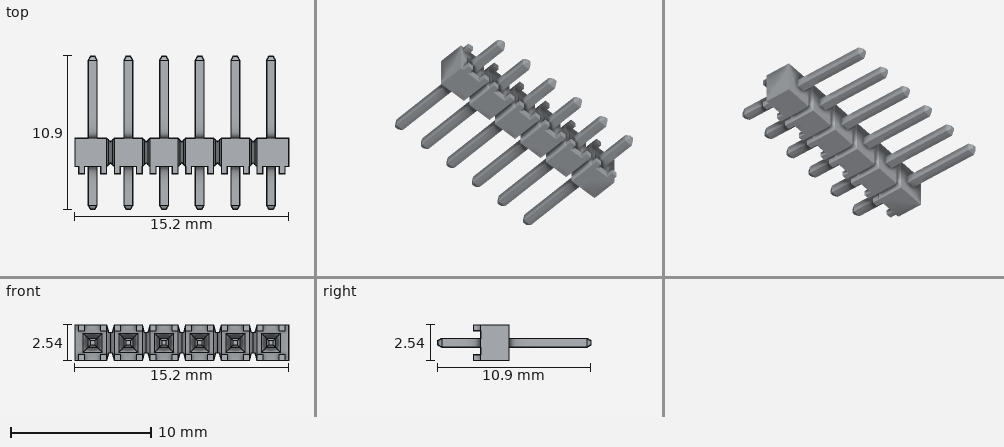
import cadquery as cq

pin_count = 6
pitch = 2.54

body_length = pin_count * pitch
body_depth = 2.03
body_height = 2.54
body_front = -body_depth / 2
body_back = body_depth / 2
block_width = 2.0

notch_width = pitch - block_width
notch_floor_width = .26
bridge_height = 1.48
side_notch_depth = notch_width / 2

foot_width = 0.43
foot_height = 0.43
foot_length = 0.51

pin_size = .64
pin_tip_size = 0.30
pin_tip_length = 0.30
pin_front_reach = 3.052
pin_back_reach = 5.842
pin_front = body_front - pin_front_reach
pin_back = body_back + pin_back_reach

funnel_mouth = 1.35
funnel_depth = 0.25

pin_positions = [(i - (pin_count - 1) / 2) * pitch for i in range(pin_count)]
notch_positions = [x + pitch / 2 for x in pin_positions[:-1]]


def square_taper(x, y_start, size_start, y_end, size_end):
    """Square frustum along Y, centred on the pin axis at x."""
    return (
        cq.Workplane("XZ", origin=(x, y_start, 0))
        .rect(size_start, size_start)
        .workplane(offset=y_start - y_end)
        .rect(size_end, size_end)
        .loft()
    )


def top_notch(x):
    """Trapezoidal groove along Y in the top of the housing."""
    top = body_height / 2
    floor = bridge_height / 2
    return (
        cq.Workplane("XZ", origin=(x, body_back, 0))
        .polyline([
            (-notch_width / 2, top),
            (-notch_floor_width / 2, floor),
            (notch_floor_width / 2, floor),
            (notch_width / 2, top),
        ])
        .close()
        .extrude(body_depth)
    )


def front_notch(x):
    """V groove along Z in the front of the housing."""
    return (
        cq.Workplane("XY", origin=(x, 0, -body_height / 2))
        .polyline([
            (-notch_width / 2, body_front),
            (0, body_front + side_notch_depth),
            (notch_width / 2, body_front),
        ])
        .close()
        .extrude(body_height)
    )


def feet(x):
    """Four feet at the corners of one block."""
    return (
        cq.Workplane("XZ", origin=(x, body_front, 0))
        .rect(block_width - foot_width, body_height - foot_height, forConstruction=True)
        .vertices()
        .rect(foot_width, foot_height)
        .extrude(foot_length)
    )


def funnel(x):
    """Tapered lead-in that narrows from the front face down to the pin."""
    return square_taper(x, body_front, funnel_mouth, body_front + funnel_depth, pin_size)


def pin(x):
    """Square pin with a blunt taper at both ends."""
    shank_front = pin_front + pin_tip_length
    shank_back = pin_back - pin_tip_length
    shank = (
        cq.Workplane("XZ", origin=(x, shank_back, 0))
        .rect(pin_size, pin_size)
        .extrude(shank_back - shank_front)
    )
    front_tip = square_taper(x, shank_front, pin_size, pin_front, pin_tip_size)
    back_tip = square_taper(x, shank_back, pin_size, pin_back, pin_tip_size)
    return shank.union(front_tip).union(back_tip)


result = cq.Workplane("XY").box(body_length, body_depth, body_height)

for x in notch_positions:
    result = result.cut(top_notch(x)).cut(top_notch(x).mirror("XY"))
    result = result.cut(front_notch(x)).cut(front_notch(x).mirror("XZ"))

for x in pin_positions:
    result = result.union(feet(x)).cut(funnel(x)).union(pin(x))